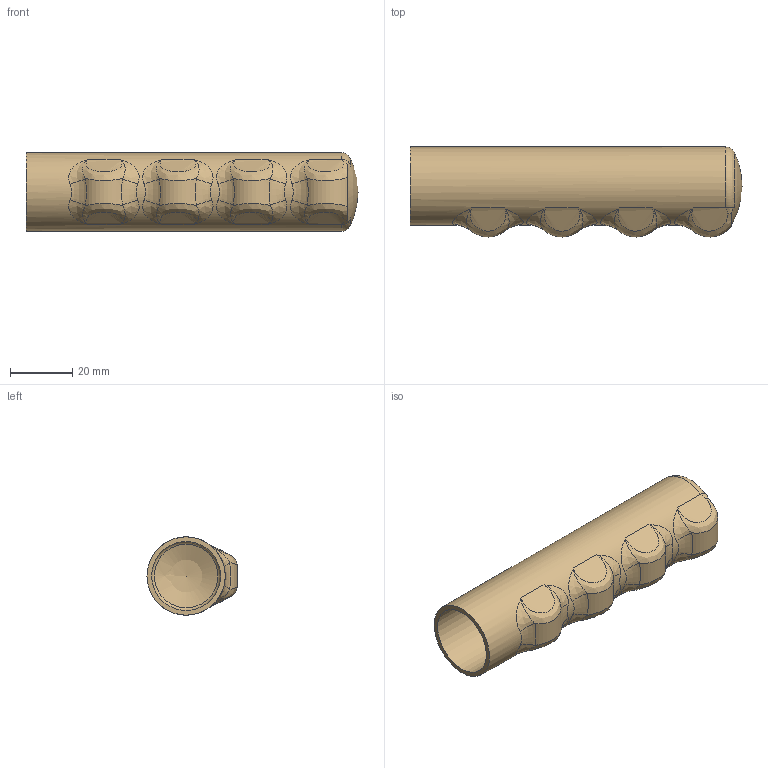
import cadquery as cq
import math

tube_radius = 12.6
wall = 1.5
dome_base_x = 103.5
dome_radius = 25.0
rim_fillet = 3.0

bump_count = 4
bump_pitch = 23.8
first_bump_x = 25.1
bump_radius = 8.7
bump_reach = 16.4
tip_half_height = 5.8
edge_fillet = 3.0
flank_start_y = -7.0

flare_radius = 8.25
flare_root = 2.0
flare_embed = 0.005
flare_sections = 9
flare_extent = 0.97
solver_steps = 50

dome_center_x = dome_base_x - math.sqrt(dome_radius**2 - tube_radius**2)
tool_size = 4 * tube_radius

bump_axis_y = bump_radius - bump_reach
outward_y = flank_start_y / tube_radius
outward_z = math.sqrt(1 - outward_y**2)
flank_start_z = outward_z * tube_radius

chord_y = -bump_reach - flank_start_y
chord_z = tip_half_height - flank_start_z
flank_radius = (chord_y**2 + chord_z**2) / (2 * (chord_y * outward_y + chord_z * outward_z))
flank_center_y = outward_y * (tube_radius + flank_radius)
flank_center_z = outward_z * (tube_radius + flank_radius)

spine_turn_radius = bump_radius - edge_fillet
spine_flank_radius = flank_radius + edge_fillet
spine_tip_y = bump_axis_y - spine_turn_radius
spine_end_y = outward_y * (tube_radius - edge_fillet)


def capped_rod(inset):
    """Domed rod with every surface moved inward by inset."""
    radius = tube_radius - inset
    dome = dome_radius - inset
    fillet = rim_fillet - inset
    fillet_center_r = tube_radius - rim_fillet
    rim_angle = math.asin(fillet_center_r / (dome_radius - rim_fillet))
    fillet_center_x = dome_center_x + (dome_radius - rim_fillet) * math.cos(rim_angle)
    fillet_angle = (math.pi / 2 + rim_angle) / 2

    def dome_point(angle):
        return dome_center_x + dome * math.cos(angle), dome * math.sin(angle)

    fillet_middle = (
        fillet_center_x + fillet * math.cos(fillet_angle),
        fillet_center_r + fillet * math.sin(fillet_angle),
    )
    return (
        cq.Workplane("XY")
        .lineTo(0, radius)
        .lineTo(fillet_center_x, radius)
        .threePointArc(fillet_middle, dome_point(rim_angle))
        .threePointArc(dome_point(rim_angle / 2), dome_point(0))
        .close()
        .revolve(360, (0, 0, 0), (1, 0, 0))
    )


def bump():
    """Upright disc trimmed to the flank profile, with rounded edges."""
    half_profile = (
        cq.Workplane("YZ")
        .moveTo(tube_radius, 0)
        .threePointArc((0, tube_radius), (flank_start_y, flank_start_z))
        .tangentArcPoint((-bump_reach, tip_half_height), relative=False)
        .lineTo(-bump_reach, 0)
        .close()
        .extrude(tool_size / 2, both=True)
    )
    profile = half_profile.union(half_profile.mirror("XY"))
    disc = (
        cq.Workplane("XY")
        .center(0, bump_axis_y)
        .circle(bump_radius)
        .extrude(tool_size / 2, both=True)
    )
    trimmed = disc.intersect(profile)
    rounded = trimmed.edges("%BSPLINE").fillet(edge_fillet)
    flank_side = cq.Workplane("XY").box(tool_size, tool_size, tool_size)
    return rounded.intersect(flank_side.translate((0, flank_start_y - tool_size / 2, 0)))


def spine_point(y):
    """Point of the rounded edge's spine at the given y, on the +X, +Z side."""
    x = math.sqrt(spine_turn_radius**2 - (y - bump_axis_y) ** 2)
    z = flank_center_z - math.sqrt(spine_flank_radius**2 - (y - flank_center_y) ** 2)
    return cq.Vector(x, y, z)


def ball_on_edge(y):
    """Centre of the ball touching the tube and the rounded edge, and the spine point it faces."""
    spine = spine_point(y)
    slope_x = (bump_axis_y - y) / spine.x
    slope_z = (y - flank_center_y) / (flank_center_z - spine.z)
    tangent = cq.Vector(slope_x, 1, slope_z).normalized()
    side = tangent.cross(cq.Vector(0, spine.y, spine.z)).normalized()
    outward = side.cross(tangent)
    low = -math.pi / 2
    high = math.pi / 2
    for _ in range(solver_steps):
        angle = (low + high) / 2
        direction = side * math.cos(angle) + outward * math.sin(angle)
        ball = spine + direction * (edge_fillet + flare_radius)
        if math.hypot(ball.y, ball.z) < tube_radius + flare_radius:
            low = angle
        else:
            high = angle
    return ball, spine


def ball_on_wall(z):
    """Centre of the ball touching the tube and the disc wall, and the disc axis point it faces."""
    y = -math.sqrt((tube_radius + flare_radius) ** 2 - z**2)
    x = math.sqrt((bump_radius + flare_radius) ** 2 - (y - bump_axis_y) ** 2)
    return cq.Vector(x, y, z), cq.Vector(0, bump_axis_y, z)


def wall_end_y():
    """Spine y where the ball passes from the wall to the rounded edge, level with the spine."""
    low = spine_tip_y + edge_fillet / 100
    high = bump_axis_y
    for _ in range(solver_steps):
        middle = (low + high) / 2
        ball, spine = ball_on_edge(middle)
        if ball.z < spine.z:
            low = middle
        else:
            high = middle
    return low


def flare_section(ball, bump_core):
    """Cross-section of the flare: the ball's arc from bump to tube, closed through a buried root."""
    to_bump = (bump_core - ball).normalized()
    to_tube = cq.Vector(0, -ball.y, -ball.z).normalized()
    to_root = (to_bump + to_tube).normalized()
    arc_radius = flare_radius + flare_embed
    on_bump = ball + to_bump * arc_radius
    arc_middle = ball + to_root * arc_radius
    on_tube = ball + to_tube * arc_radius
    root = ball + to_root * (flare_radius + flare_root)
    return cq.Wire.assembleEdges([
        cq.Edge.makeThreePointArc(on_bump, arc_middle, on_tube),
        cq.Edge.makeLine(on_tube, root),
        cq.Edge.makeLine(root, on_bump),
    ])


def flare():
    """Wall, upper-edge and lower-edge pieces of the flare on the +X side of a bump."""
    start_y = wall_end_y()
    covered_y = flare_extent * (spine_end_y - start_y)
    wall_half_height = spine_point(start_y).z
    wall_wires = []
    edge_wires = []
    for i in range(flare_sections):
        share = i / (flare_sections - 1)
        wall_wires.append(flare_section(*ball_on_wall(wall_half_height * (2 * share - 1))))
        edge_wires.append(flare_section(*ball_on_edge(start_y + covered_y * share)))
    wall_piece = cq.Workplane(cq.Solid.makeLoft(wall_wires))
    upper_piece = cq.Workplane(cq.Solid.makeLoft(edge_wires))
    return [wall_piece, upper_piece, upper_piece.mirror("XY")]


def join(base, pieces):
    for piece in pieces:
        base = base.union(piece)
    return base


def end_limit():
    """Wide cylinder up to the dome base plane, carrying the dome without its rim fillet."""
    half_angle = math.asin(tube_radius / dome_radius) / 2
    dome_middle = (
        dome_center_x + dome_radius * math.cos(half_angle),
        dome_radius * math.sin(half_angle),
    )
    return (
        cq.Workplane("XY")
        .lineTo(0, tool_size)
        .lineTo(dome_base_x, tool_size)
        .lineTo(dome_base_x, tube_radius)
        .threePointArc(dome_middle, (dome_center_x + dome_radius, 0))
        .close()
        .revolve(360, (0, 0, 0), (1, 0, 0))
    )


def grip():
    right_flare = flare()
    left_flare = [piece.mirror("YZ") for piece in right_flare]
    left_flared_bump = join(bump(), left_flare)
    full_bump = join(left_flared_bump, right_flare)

    body = capped_rod(0)
    last = bump_count - 1
    for i in range(last):
        body = body.union(full_bump.translate((first_bump_x + i * bump_pitch, 0, 0)))

    end_bump = left_flared_bump.translate((first_bump_x + last * bump_pitch, 0, 0))
    body = body.union(end_bump.intersect(end_limit()))
    return body.cut(capped_rod(wall))


result = grip()